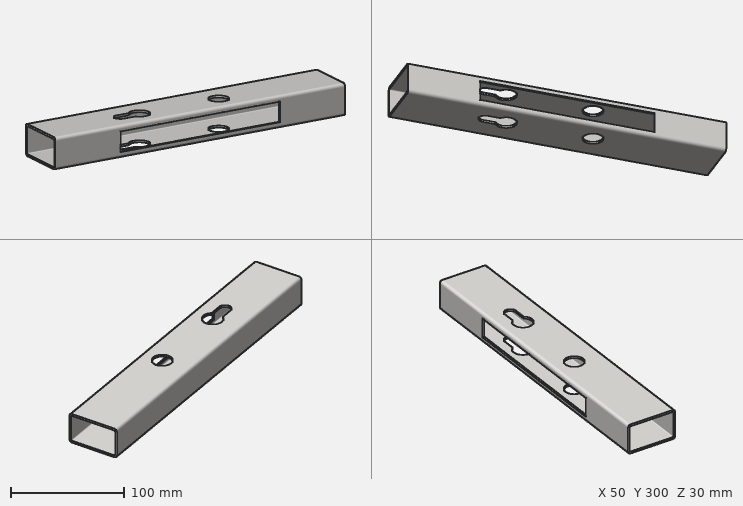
import cadquery as cq

length = 300.0
width = 50.0
height = 30.0
wall = 2.0
outer_radius = 3.0
inner_radius = outer_radius - wall

cutout_x = 3.5
handle_hole_y = 32.0
handle_hole_diameter = 18.5
cylinder_y = -49.8
cylinder_diameter = 19.2
cylinder_slot_width = 11.7
cylinder_slot_end_y = -75.5

case_opening_length = 165.0
case_opening_height = 19.2


def rounded_bar(bar_width, bar_height, radius):
    """Solid bar of the full tube length with rounded long edges."""
    return cq.Workplane("XY").box(bar_width, length, bar_height).edges("|Y").fillet(radius)


def round_cutter(y, diameter):
    """Vertical cylinder reaching through both broad walls."""
    return cq.Workplane("XY").center(cutout_x, y).circle(diameter / 2).extrude(height, both=True)


def keyhole_cutter():
    """Euro-cylinder profile: a round head with a narrower round-ended slot towards -Y."""
    slot_tip_y = cylinder_slot_end_y + cylinder_slot_width / 2
    slot = (
        cq.Workplane("XY")
        .center(cutout_x, (cylinder_y + slot_tip_y) / 2)
        .rect(cylinder_slot_width, cylinder_y - slot_tip_y)
        .extrude(height, both=True)
    )
    slot_tip = round_cutter(slot_tip_y, cylinder_slot_width)
    return round_cutter(cylinder_y, cylinder_diameter).union(slot).union(slot_tip)


def case_opening_cutter():
    """Rectangular block that passes through the +X wall only."""
    return (
        cq.Workplane("XY")
        .box(2 * wall, case_opening_length, case_opening_height)
        .translate(((width - wall) / 2, 0, 0))
    )


tube = rounded_bar(width, height, outer_radius).cut(
    rounded_bar(width - 2 * wall, height - 2 * wall, inner_radius)
)
result = (
    tube.cut(round_cutter(handle_hole_y, handle_hole_diameter))
    .cut(keyhole_cutter())
    .cut(case_opening_cutter())
)